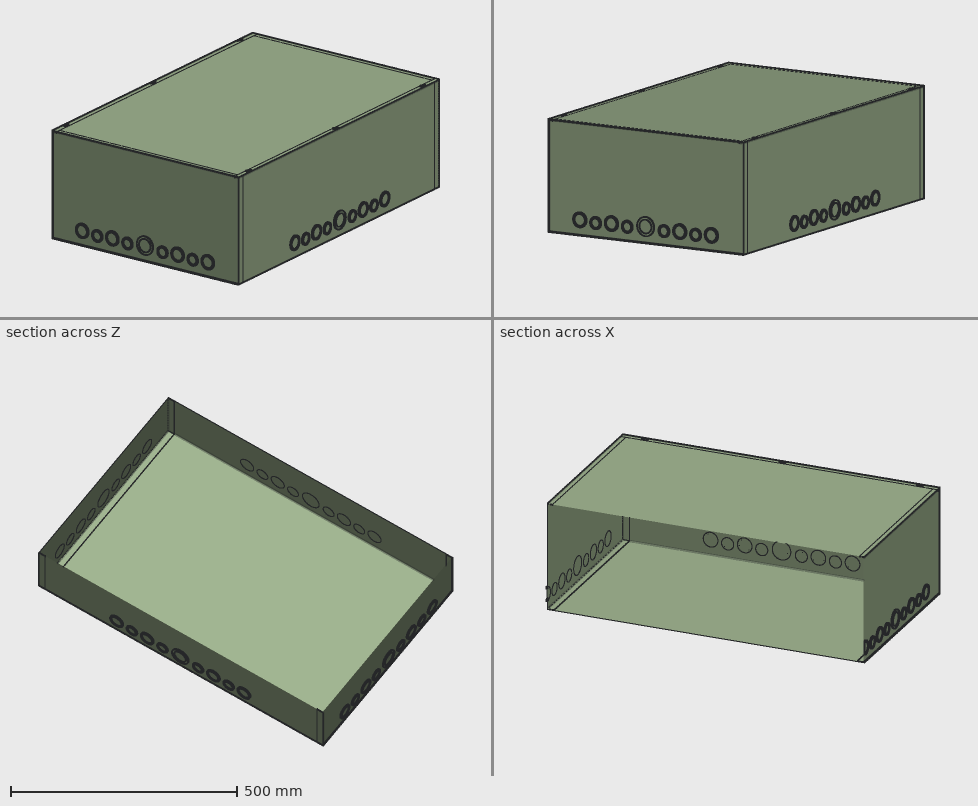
import cadquery as cq

SHEET = 1.5
BEND_INNER_RADIUS = 1.0
bend_outer_radius = BEND_INNER_RADIUS + SHEET
KNOCKOUT_HEIGHT = 3.0
box_length = 768 - 2 * KNOCKOUT_HEIGHT
box_width = box_length * 2 / 3
box_height = box_length / 3
half_width = box_width / 2
half_length = box_length / 2

RIM_WIDTH = 12.0
WELD_FLANGE = 17.0

FIRST_OFFSET = 47.5
LAST_OFFSET = 170.5
PER_SIDE = 4
knockout_pitch = (LAST_OFFSET - FIRST_OFFSET) / (PER_SIDE - 1)

LIP_WIDTH = 1.2
SMALL_KNOCKOUT = (14.5, 34.0, 2.45)
LARGE_KNOCKOUT = (18.0, 37.0, 2.45)
CENTRE_KNOCKOUT = (22.0, 39.0, 4.9)

SCREW_EDGE_DISTANCE = 6.0
SCREW_SPACING = 330.0
SCREW_Y_OFFSET = 1.0
SCREW_HOLE_RADIUS = 1.9
KEYHOLE_SLOT_WIDTH = 5.75
KEYHOLE_HEAD_RADIUS = 5.5
KEYHOLE_TRAVEL = 8.0

screw_points = [
    (side * (half_width - SCREW_EDGE_DISTANCE), SCREW_Y_OFFSET + step * SCREW_SPACING)
    for side in (-1, 1)
    for step in (-1, 0, 1)
]


def block(x_size, y_size, z_low, z_high, y=0):
    """Rectangular block centred on x = 0 and the given y, between two heights."""
    return cq.Workplane("XY", origin=(0, y, z_low)).rect(x_size, y_size).extrude(z_high - z_low)


def add_knockout(body, plane, along, kind):
    """Disc one sheet high, with two narrow concentric lips standing up around its middle."""
    radius, height, lip_gap = kind
    wall = cq.Workplane(plane).center(along, height)
    body = body.union(wall.circle(radius).extrude(SHEET))
    for lip_radius in (radius, radius - LIP_WIDTH - lip_gap):
        lip = wall.circle(lip_radius).circle(lip_radius - LIP_WIDTH).extrude(KNOCKOUT_HEIGHT)
        body = body.union(lip)
    return body


def add_knockout_row(body, x, y, normal):
    """Row of knockouts on the wall through (x, y), the small and large ones alternating."""
    plane = cq.Plane(origin=(x, y, 0), xDir=(-normal[1], normal[0], 0), normal=normal)
    body = add_knockout(body, plane, 0, CENTRE_KNOCKOUT)
    for index in range(PER_SIDE):
        kind = SMALL_KNOCKOUT if index % 2 == 0 else LARGE_KNOCKOUT
        offset = FIRST_OFFSET + index * knockout_pitch
        for along in (-offset, offset):
            body = add_knockout(body, plane, along, kind)
    return body


def make_wrapper():
    """Floor and two long walls in one bent sheet, with inward rims along the top."""
    body = block(box_width, box_length, 0, box_height).edges("|Y").fillet(bend_outer_radius)
    hollow = block(box_width - 2 * SHEET, box_length, SHEET, box_height - SHEET)
    body = body.cut(hollow.edges("|Y").fillet(BEND_INNER_RADIUS))
    body = body.cut(block(box_width - 2 * RIM_WIDTH, box_length, SHEET, box_height))
    rim_underside = cq.Workplane("XY", origin=(0, 0, box_height - SHEET))
    body = body.cut(rim_underside.pushPoints(screw_points).circle(SCREW_HOLE_RADIUS).extrude(SHEET))
    for side in (-1, 1):
        body = add_knockout_row(body, side * half_width, 0, (side, 0, 0))
    return body


def make_end_panel(side):
    """Pan closing one end: weld flanges at the sides and floor, and a rim between the long rims."""
    outer_face = ">Y" if side > 0 else "<Y"
    inner_width = box_width - 2 * SHEET
    rim_underside = box_height - SHEET

    pan = block(inner_width, WELD_FLANGE, SHEET, rim_underside, side * (half_length - WELD_FLANGE / 2))
    pan = pan.edges("|Y").fillet(BEND_INNER_RADIUS)

    rim_y = side * (half_length - RIM_WIDTH / 2)
    rim = block(box_width - 2 * RIM_WIDTH, RIM_WIDTH, box_height / 2, box_height, rim_y)
    rim = rim.faces(outer_face).edges(">Z").fillet(bend_outer_radius)

    hollow_y = side * (half_length - SHEET - WELD_FLANGE / 2)
    hollow = block(inner_width - 2 * SHEET, WELD_FLANGE, 2 * SHEET, rim_underside, hollow_y)
    hollow = hollow.faces(outer_face).edges("|Z or <Z").fillet(BEND_INNER_RADIUS)
    body = pan.faces(outer_face).edges("|Z or <Z").fillet(bend_outer_radius).union(rim).cut(hollow)
    return add_knockout_row(body, 0, side * half_length, (0, side, 0))


def make_cover():
    """Flat sheet with a keyhole at each screw, its wide end towards -Y."""
    body = block(box_width, box_length, box_height, box_height + SHEET)
    slot_points = [(x, y - KEYHOLE_TRAVEL / 2) for x, y in screw_points]
    head_points = [(x, y - KEYHOLE_TRAVEL) for x, y in screw_points]
    slot_length = KEYHOLE_TRAVEL + KEYHOLE_SLOT_WIDTH
    underside = cq.Workplane("XY", origin=(0, 0, box_height))
    slots = underside.pushPoints(slot_points).slot2D(slot_length, KEYHOLE_SLOT_WIDTH, 90).extrude(SHEET)
    heads = underside.pushPoints(head_points).circle(KEYHOLE_HEAD_RADIUS).extrude(SHEET)
    return body.cut(slots).cut(heads)


wrapper = make_wrapper()
end_panels = [make_end_panel(side) for side in (-1, 1)]
cover = make_cover()

result = cq.Compound.makeCompound(
    [wrapper.val(), *[panel.val() for panel in end_panels], cover.val()]
)